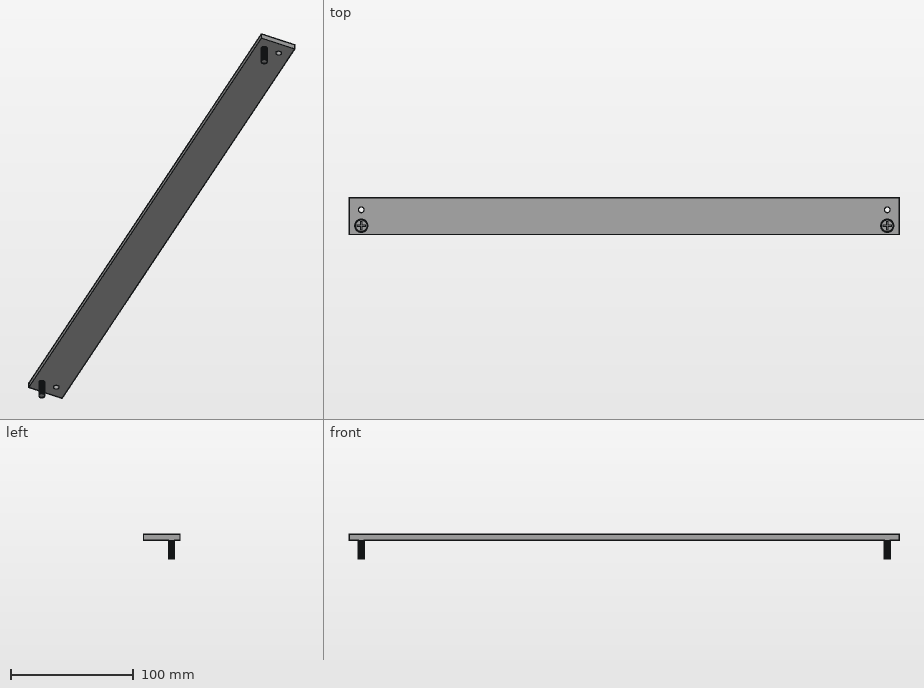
import cadquery as cq

PLATE_LENGTH = 448.5
PLATE_WIDTH = 30.0
PLATE_THICKNESS = 5.0
SIDE_HOLE_DIAMETER = 4.5
SIDE_HOLE_INSET = 10.0
COUNTERSINK_DIAMETER = 10.8

END_DISTANCE = 10.0
SCREW_INSET = 7.0
SCREW_LENGTH = 20.0
SHANK_DIAMETER = 5.0
HEAD_DIAMETER = 9.5
RECESS_SPAN = 7.0
RECESS_WIDTH = 1.5
RECESS_DEPTH = 2.0
THREAD_PITCH = 0.8
THREAD_DEPTH = 0.5

END_X = PLATE_LENGTH / 2 - END_DISTANCE
SIDE_HOLE_Y = PLATE_WIDTH / 2 - SIDE_HOLE_INSET
SCREW_Y = SCREW_INSET - PLATE_WIDTH / 2
SHANK_RADIUS = SHANK_DIAMETER / 2
HEAD_RADIUS = HEAD_DIAMETER / 2
HEAD_HEIGHT = HEAD_RADIUS - SHANK_RADIUS
HEAD_RIM = (COUNTERSINK_DIAMETER - HEAD_DIAMETER) / 2
THREAD_COUNT = int((SCREW_LENGTH - PLATE_THICKNESS) / THREAD_PITCH)


def turned(profile):
    """Solid of revolution about Z from (radius, height) points."""
    return cq.Workplane("XZ").polyline(profile).close().revolve(360, (0, 0, 0), (0, 1, 0))


def thread_grooves():
    """Profile points of the V-shaped thread rings, going down from the plate."""
    points = []
    for turn in range(THREAD_COUNT):
        crest_z = -PLATE_THICKNESS - turn * THREAD_PITCH
        points.append((SHANK_RADIUS, crest_z))
        points.append((SHANK_RADIUS - THREAD_DEPTH, crest_z - THREAD_PITCH / 2))
    points.append((SHANK_RADIUS, -PLATE_THICKNESS - THREAD_COUNT * THREAD_PITCH))
    return points


def cross_recess():
    """Cross-shaped driver recess cut down from the top of the head."""
    along_x = cq.Workplane("XY").rect(RECESS_SPAN, RECESS_WIDTH).extrude(-RECESS_DEPTH)
    along_y = cq.Workplane("XY").rect(RECESS_WIDTH, RECESS_SPAN).extrude(-RECESS_DEPTH)
    return along_x.union(along_y)


def make_screw(x, y):
    body = turned([
        (0, 0),
        (HEAD_RADIUS, 0),
        (HEAD_RADIUS, -HEAD_RIM),
        (SHANK_RADIUS, -HEAD_RIM - HEAD_HEIGHT),
        *thread_grooves(),
        (SHANK_RADIUS, -SCREW_LENGTH),
        (0, -SCREW_LENGTH),
    ])
    return body.cut(cross_recess()).translate((x, y, 0))


def make_plate():
    plate = cq.Workplane("XY").rect(PLATE_LENGTH, PLATE_WIDTH).extrude(-PLATE_THICKNESS)
    side_holes = (
        cq.Workplane("XY")
        .pushPoints([(-END_X, SIDE_HOLE_Y), (END_X, SIDE_HOLE_Y)])
        .circle(SIDE_HOLE_DIAMETER / 2)
        .extrude(-PLATE_THICKNESS)
    )
    plate = plate.cut(side_holes)
    countersunk_hole = turned([
        (0, 0),
        (COUNTERSINK_DIAMETER / 2, 0),
        (SHANK_RADIUS, SHANK_RADIUS - COUNTERSINK_DIAMETER / 2),
        (SHANK_RADIUS, -PLATE_THICKNESS),
        (0, -PLATE_THICKNESS),
    ])
    for x in (-END_X, END_X):
        plate = plate.cut(countersunk_hole.translate((x, SCREW_Y, 0)))
    return plate


plate = make_plate()
screws = [make_screw(x, SCREW_Y) for x in (-END_X, END_X)]

result = cq.Compound.makeCompound([plate.val(), *[screw.val() for screw in screws]])